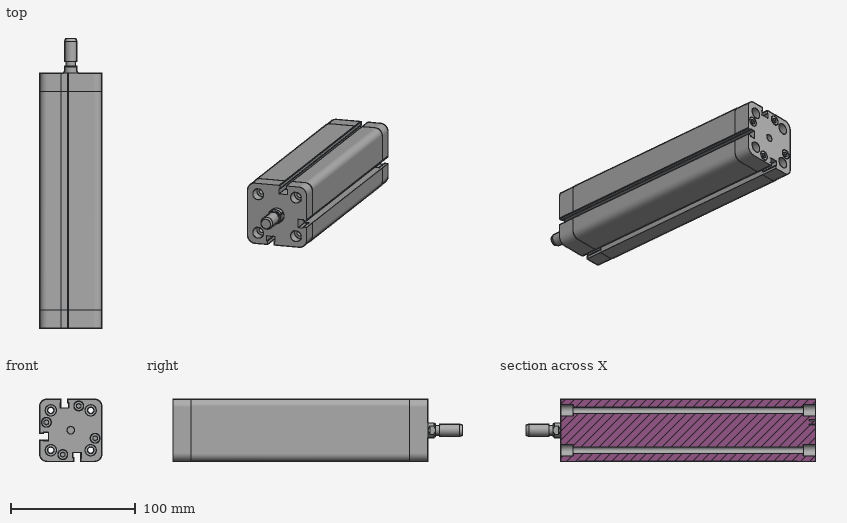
import cadquery as cq
import math


barrel_width = 50.0
cap_width = 50.1
barrel_corner_radius = 5.8
cap_corner_radius = 6.5
block_length = 204.5
cap_length = 14.5

slot_mouth_left = -7.9
slot_mouth_right = -2.5
slot_undercut = 0.8
slot_rebate_depth = 0.1
slot_lip_depth = 3.0
slot_depth = 7.1
slot_angles = (0, 90, 180)

mount_spacing = 32.0
mount_hole_diameter = 4.92
mount_counterbore_diameter = 9.0
mount_counterbore_depth = 10.0

screw_radial_offset = 19.5
screw_side_offset = 6.4
screw_recess_diameter = 7.9
screw_head_diameter = 7.5
screw_head_height = 5.0
hex_across_flats = 3.5
hex_depth = 2.5

centre_hole_diameter = 6.0
centre_hole_depth = 8.0

rod_diameter = 12.0
rod_shoulder_length = 6.0
rod_chamfer = 0.9
rod_chamfer_length = 1.2
flats_width = 10.0
flats_start = 1.8
flats_ramp_length = 1.5
neck_diameter = 8.0
neck_length = 3.5
thread_diameter = 10.0
thread_tip_diameter = 8.0
thread_chamfer_length = 2.4
rod_length = 28.0


def square_bar(width, corner_radius, start, length):
    """Round-cornered square bar along +Y, beginning at Y = start."""
    bar = cq.Workplane("XY").box(width, length, width).edges("|Y").fillet(corner_radius)
    return bar.translate((0, start + length / 2, 0))


def cylinder(diameter, start, length, x=0, z=0):
    """Cylinder along +Y, beginning at Y = start."""
    base = cq.Solid.makeCylinder(
        diameter / 2, length, cq.Vector(x, start, z), cq.Vector(0, 1, 0)
    )
    return cq.Workplane(base)


def slot_layer(left, right, bottom, top, start, length):
    """Rectangular bar along +Y spanning left to right in X and bottom to top in Z."""
    layer = cq.Workplane("XY").box(right - left, length, top - bottom, centered=False)
    return layer.translate((left, start, bottom))


def cut_slots(bar, width, start, length, undercut_left):
    """Cut the sensor slots, undercut behind their lips, with a shallow rebate along one lip."""
    surface = width / 2
    floor = surface - slot_depth
    lip_bottom = surface - slot_lip_depth
    right_inner = slot_mouth_right + slot_undercut
    left_inner = slot_mouth_left - undercut_left

    mouth = slot_layer(slot_mouth_left, slot_mouth_right, floor, surface, start, length)
    inner = slot_layer(left_inner, right_inner, floor, lip_bottom, start, length)
    rebate_bottom = surface - slot_rebate_depth
    rebate = slot_layer(slot_mouth_left, right_inner, rebate_bottom, surface, start, length)
    slot = mouth.union(inner).union(rebate)

    for angle in slot_angles:
        bar = bar.cut(slot.rotate((0, 0, 0), (0, 1, 0), -angle))
    return bar


def mount_hole_cutter(x, z):
    """Through hole with a counterbore in each cap."""
    rear = cylinder(mount_counterbore_diameter, 0, mount_counterbore_depth, x, z)
    front_start = block_length - mount_counterbore_depth
    front = cylinder(mount_counterbore_diameter, front_start, mount_counterbore_depth, x, z)
    return cylinder(mount_hole_diameter, 0, block_length, x, z).union(rear).union(front)


def screw_cutter(x, z):
    """Clearance ring around a screw head together with its hexagon socket."""
    recess = cylinder(screw_recess_diameter, 0, screw_head_height, x, z)
    head = cylinder(screw_head_diameter, 0, screw_head_height, x, z)
    hex_across_corners = hex_across_flats / math.cos(math.pi / 6)
    socket = (
        cq.Workplane("XZ", origin=(x, 0, z))
        .transformed(rotate=(0, 0, 90))
        .polygon(6, hex_across_corners)
        .extrude(-hex_depth)
    )
    return recess.cut(head).union(socket)


def make_barrel():
    """Middle profile; its slots are undercut on one side only."""
    length = block_length - 2 * cap_length
    barrel = square_bar(barrel_width, barrel_corner_radius, cap_length, length)
    return cut_slots(barrel, barrel_width, cap_length, length, undercut_left=0)


def make_cap(start):
    """End cap; its slots are undercut on both sides."""
    cap = square_bar(cap_width, cap_corner_radius, start, cap_length)
    return cut_slots(cap, cap_width, start, cap_length, undercut_left=slot_undercut)


def make_body():
    rear_cap = make_cap(0)
    front_cap = make_cap(block_length - cap_length)
    body = make_barrel().union(rear_cap).union(front_cap)

    half_spacing = mount_spacing / 2
    for x in (-half_spacing, half_spacing):
        for z in (-half_spacing, half_spacing):
            body = body.cut(mount_hole_cutter(x, z))

    screw_places = (
        (screw_side_offset, screw_radial_offset),
        (screw_radial_offset, -screw_side_offset),
        (-screw_side_offset, -screw_radial_offset),
        (-screw_radial_offset, screw_side_offset),
    )
    for x, z in screw_places:
        body = body.cut(screw_cutter(x, z))

    return body.cut(cylinder(centre_hole_diameter, 0, centre_hole_depth))


def flat_cutter():
    """Wrench flat on the +X side of the rod, running out on a short ramp."""
    flat_x = flats_width / 2
    rod_radius = rod_diameter / 2
    start = block_length + flats_start
    end = block_length + rod_shoulder_length
    return (
        cq.Workplane("XY")
        .moveTo(flat_x, start)
        .lineTo(flat_x, end)
        .lineTo(rod_radius, end)
        .lineTo(rod_radius, start - flats_ramp_length)
        .close()
        .extrude(rod_radius, both=True)
    )


def make_rod():
    neck_start = block_length + rod_shoulder_length
    thread_start = neck_start + neck_length
    thread_end = block_length + rod_length
    thread_chamfer = (thread_diameter - thread_tip_diameter) / 2

    shoulder = cylinder(rod_diameter, block_length, rod_shoulder_length)
    shoulder = shoulder.faces(">Y").edges().chamfer(rod_chamfer_length, rod_chamfer)
    shoulder = shoulder.cut(flat_cutter()).cut(flat_cutter().mirror("YZ"))
    neck = cylinder(neck_diameter, neck_start, neck_length)
    thread = cylinder(thread_diameter, thread_start, thread_end - thread_start)
    thread = thread.faces(">Y").edges().chamfer(thread_chamfer_length, thread_chamfer)
    return shoulder.union(neck).union(thread)


result = make_body().union(make_rod())